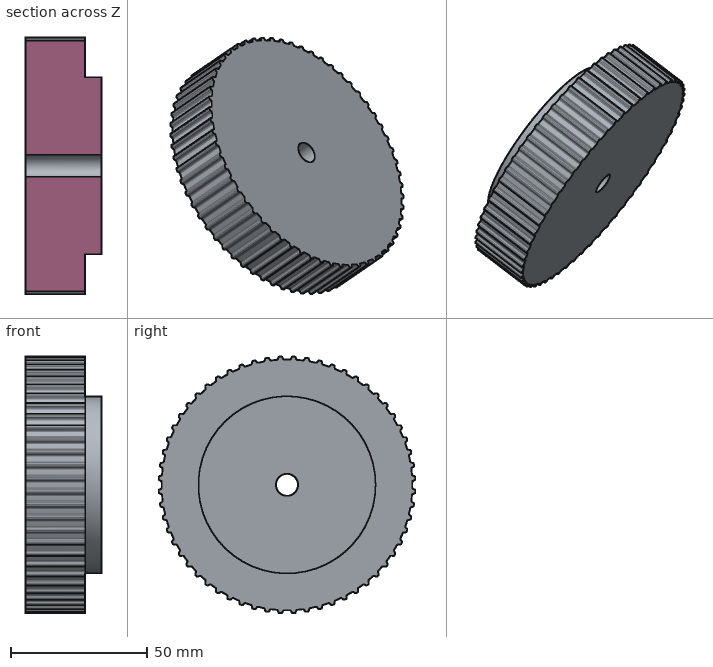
import cadquery as cq
import math

overall_height = 94.2
overall_length = 28.0

hub_diameter = 65.0
hub_length = 6.0
bore_diameter = 8.0

tooth_count = 60
tooth_height = 1.1
tip_round_radius = 0.6
tip_round_spacing = 0.5
root_fillet_radius = 0.4
flank_angle = math.radians(25.0)

rim_length = overall_length - hub_length
tooth_pitch = 2 * math.pi / tooth_count

round_offset = tip_round_spacing / 2
round_center_height = overall_height / 2 - tip_round_radius
round_half_angle = math.asin(round_offset / round_center_height)
round_center_radius = round_center_height / math.cos(tooth_pitch / 2 - round_half_angle)
tip_radius = round_center_radius + tip_round_radius
root_radius = tip_radius - tooth_height


def polar(radius, angle):
    """Point at a radius and an angle measured from the +Z direction."""
    return (radius * math.sin(angle), radius * math.cos(angle))


def offset(point, distance, angle):
    """Point moved by a distance in a direction measured from the +Z direction."""
    step_y, step_z = polar(distance, angle)
    return (point[0] + step_y, point[1] + step_z)


def half_tooth_points():
    """Points of the +Y half of a tooth that points along +Z, from tip to root.

    The order is: start, middle and end of the tip round, then start, middle and
    end of the root fillet. The straight flank joins the two arcs.
    """
    flank_normal = math.pi / 2 - flank_angle
    round_center = polar(round_center_radius, round_half_angle)
    tip_round = [
        offset(round_center, tip_round_radius, angle)
        for angle in (round_half_angle, (round_half_angle + flank_normal) / 2, flank_normal)
    ]

    flank_distance = round_center_radius * math.cos(flank_normal - round_half_angle) + tip_round_radius
    center_distance = flank_distance + root_fillet_radius
    center_radius = root_radius + root_fillet_radius
    center_angle = flank_normal - math.acos(center_distance / center_radius)
    fillet_center = polar(center_radius, center_angle)
    fillet_start = flank_normal + math.pi
    fillet_end = center_angle + math.pi
    root_fillet = [
        offset(fillet_center, root_fillet_radius, angle)
        for angle in (fillet_start, (fillet_start + fillet_end) / 2, fillet_end)
    ]
    return tip_round + root_fillet


def turned(point, angle):
    """Point turned about the pulley axis, from +Z toward +Y."""
    return polar(math.hypot(*point), math.atan2(*point) + angle)


def make_rim():
    """Toothed disc, drawn as one closed outline going from tooth to tooth."""
    falling_half = half_tooth_points()
    rising_half = [(-y, z) for y, z in reversed(falling_half)]
    outline = cq.Workplane("YZ").moveTo(*turned(rising_half[0], tooth_pitch / 2))
    for index in range(tooth_count):
        tooth_angle = (index + 0.5) * tooth_pitch
        rise = [turned(point, tooth_angle) for point in rising_half]
        fall = [turned(point, tooth_angle) for point in falling_half]
        next_tooth = turned(rising_half[0], tooth_angle + tooth_pitch)
        outline = (
            outline.threePointArc(rise[1], rise[2])
            .lineTo(*rise[3])
            .threePointArc(rise[4], rise[5])
            .threePointArc(polar(tip_radius, tooth_angle), fall[0])
            .threePointArc(fall[1], fall[2])
            .lineTo(*fall[3])
            .threePointArc(fall[4], fall[5])
            .threePointArc(polar(root_radius, tooth_angle + tooth_pitch / 2), next_tooth)
        )
    return outline.close().extrude(rim_length)


def make_hub():
    """Plain round hub on the +X side of the rim."""
    return cq.Workplane("YZ", origin=(rim_length, 0, 0)).circle(hub_diameter / 2).extrude(hub_length)


def make_bore():
    """Round bore through the whole length."""
    return cq.Workplane("YZ").circle(bore_diameter / 2).extrude(overall_length)


result = make_rim().union(make_hub()).cut(make_bore())